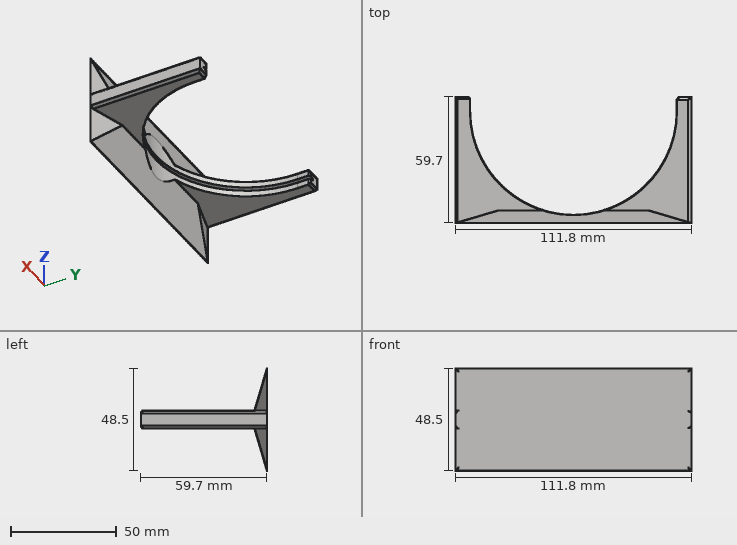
import cadquery as cq

WIDTH = 111.8
DEPTH = 59.7
PLATE_HEIGHT = 48.5

CRADLE_THICKNESS = 8.5
ARM_TIP_WIDTH = 7.0
WALL_BEHIND_BORE = 3.9
BORE_RADIUS = WIDTH / 2 - ARM_TIP_WIDTH
BORE_CENTER_Y = WALL_BEHIND_BORE + BORE_RADIUS

GROOVE_WIDTH = 2.0
GROOVE_DEPTH = 3.0

FOOT_DEPTH = 5.9
FOOT_INSET = (PLATE_HEIGHT - CRADLE_THICKNESS) / 2

LEFT_ARM = {"side": -1, "outer_x": 1.0, "outer_z": 1.5, "tip_y": 0.9, "tip_z": 1.2, "bore_x": 1.0}
RIGHT_ARM = {"side": 1, "outer_x": 1.8, "outer_z": 1.0, "tip_y": 1.5, "tip_z": 1.0, "bore_x": 1.0}


def bore_cutter():
    """Half disc through the cradle and foot, continued straight out to the arm tips."""
    return (
        cq.Workplane("XY")
        .moveTo(-BORE_RADIUS, DEPTH)
        .lineTo(-BORE_RADIUS, BORE_CENTER_Y)
        .threePointArc((0, WALL_BEHIND_BORE), (BORE_RADIUS, BORE_CENTER_Y))
        .lineTo(BORE_RADIUS, DEPTH)
        .close()
        .extrude(PLATE_HEIGHT / 2, both=True)
    )


def groove_cutter():
    """V-edged disc that sinks the groove into the bore wall, continued straight out to the tips."""
    half_width = GROOVE_WIDTH / 2
    apex_radius = BORE_RADIUS + GROOVE_DEPTH
    disc = (
        cq.Workplane("XZ", origin=(0, BORE_CENTER_Y, 0))
        .polyline([(0, -half_width), (BORE_RADIUS, -half_width), (apex_radius, 0),
                   (BORE_RADIUS, half_width), (0, half_width)])
        .close()
        .revolve(360, (0, 0, 0), (0, 1, 0))
    )
    straight = (
        cq.Workplane("XZ", origin=(0, BORE_CENTER_Y, 0))
        .polyline([(-apex_radius, 0), (-BORE_RADIUS, -half_width), (BORE_RADIUS, -half_width),
                   (apex_radius, 0), (BORE_RADIUS, half_width), (-BORE_RADIUS, half_width)])
        .close()
        .extrude(BORE_CENTER_Y - DEPTH)
    )
    return disc.union(straight)


def corner_cutter(plane, corner, leg_a, leg_b, start, length):
    """Triangular prism that bevels one straight corner."""
    a, b = corner
    return (
        cq.Workplane(plane)
        .workplane(offset=start)
        .polyline([(a, b), (a + leg_a, b), (a, b + leg_b)])
        .close()
        .extrude(length)
    )


def arm_cutters(arm):
    """Bevels on the outer edges, the tip edges and the bore edge of one arm."""
    side = arm["side"]
    outer_x = side * WIDTH / 2
    bore_x = side * BORE_RADIUS
    cutters = [
        corner_cutter("XY", (bore_x, DEPTH), side * arm["bore_x"], -arm["tip_y"],
                      -CRADLE_THICKNESS / 2, CRADLE_THICKNESS)
    ]
    for face in (-1, 1):
        face_z = face * CRADLE_THICKNESS / 2
        cutters.append(corner_cutter("XZ", (outer_x, face_z), -side * arm["outer_x"],
                                     -face * arm["outer_z"], 0, -DEPTH))
        cutters.append(corner_cutter("YZ", (DEPTH, face_z), -arm["tip_y"],
                                     -face * arm["tip_z"], min(0, outer_x), WIDTH / 2))
    return cutters


cradle = cq.Workplane("XY").box(WIDTH, DEPTH, CRADLE_THICKNESS, centered=(True, False, True))
for arm in (LEFT_ARM, RIGHT_ARM):
    for cutter in arm_cutters(arm):
        cradle = cradle.cut(cutter)

foot = (
    cq.Workplane("XZ")
    .rect(WIDTH, PLATE_HEIGHT)
    .workplane(offset=-FOOT_DEPTH)
    .rect(WIDTH - 2 * FOOT_INSET, PLATE_HEIGHT - 2 * FOOT_INSET)
    .loft(ruled=True)
)

result = cradle.union(foot).cut(bore_cutter()).cut(groove_cutter())